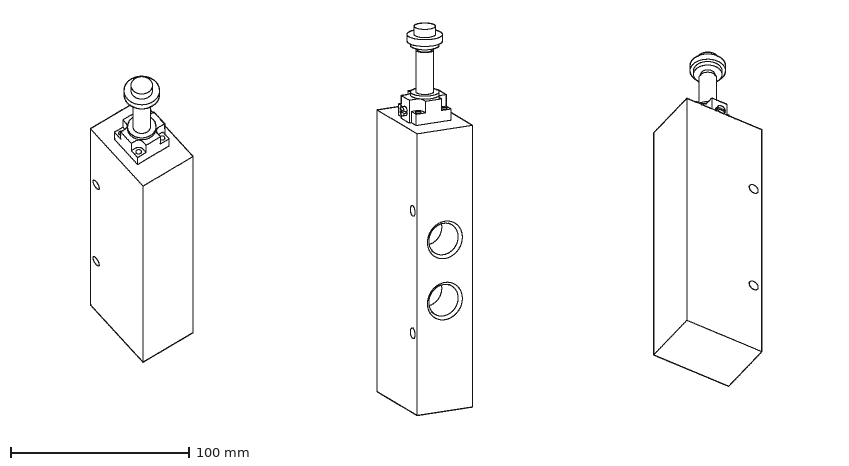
import cadquery as cq

BLOCK_X = 50.0
BLOCK_Y = 35.0
BLOCK_Z = 166.0
MID_Z = BLOCK_Z / 2

PORT_PITCH = 36.0
PORT_DIAMETER = 18.5
PORT_MOUTH_DIAMETER = 22.0
PORT_DEPTH = 22.0

MOUNT_PITCH = 2 * PORT_PITCH
MOUNT_DIAMETER = 6.0
MOUNT_EDGE_DISTANCE = 5.5

BASE_SIDE = 22.0
BASE_HEIGHT = 13.5
POCKET_SIDE = 6.0
POCKET_DEPTH = 6.8
POCKET_RADIUS = 3.0
SCREW_HOLE_DIAMETER = 3.0

TAB_WIDTH = BASE_SIDE - 2 * POCKET_SIDE
TAB_THICKNESS = 1.3
SCREW_DIAMETER = 5.3
SCREW_LENGTH = 2.0
SCREW_HEIGHT = 5.7
SLOT_WIDTH = 1.0

FLANGE_RADIUS = 16.0 / 2
FLANGE_THICKNESS = 1.8
STEM_RADIUS = 10.0 / 2
NECK_RADIUS = 8.0 / 2
DISC_RADIUS = 20.0 / 2
KNOB_RADIUS = 12.0 / 2
TOP_Z = 220.0
KNOB_BASE_Z = 215.2
DISC_BASE_Z = 211.2
COLLAR_BASE_Z = 208.5
STEM_TOP_Z = 206.0


def make_valve():
    """Rectangular valve block with two blind side ports and two through mounting holes."""
    valve = cq.Workplane("XY").box(BLOCK_X, BLOCK_Y, BLOCK_Z, centered=(True, True, False))
    mouth_radius = PORT_MOUTH_DIAMETER / 2
    port_radius = PORT_DIAMETER / 2
    mouth_depth = mouth_radius - port_radius
    port = (
        cq.Workplane("XY")
        .polyline([
            (0, 0),
            (0, mouth_radius),
            (mouth_depth, port_radius),
            (PORT_DEPTH, port_radius),
            (PORT_DEPTH, 0),
        ])
        .close()
        .revolve(360, (0, 0, 0), (1, 0, 0))
    )
    mount_hole = cq.Workplane("XZ").circle(MOUNT_DIAMETER / 2).extrude(BLOCK_Y / 2, both=True)
    mount_x = MOUNT_EDGE_DISTANCE - BLOCK_X / 2
    for side in (-1, 1):
        valve = valve.cut(port.translate((-BLOCK_X / 2, 0, MID_Z + side * PORT_PITCH / 2)))
        valve = valve.cut(mount_hole.translate((mount_x, 0, MID_Z + side * MOUNT_PITCH / 2)))
    return valve


def make_pilot_base():
    """Square base with rounded corner pockets and a screw hole in each pocket floor."""
    base = (
        cq.Workplane("XY", origin=(0, 0, BLOCK_Z))
        .box(BASE_SIDE, BASE_SIDE, BASE_HEIGHT, centered=(True, True, False))
    )
    hole_offset = BASE_SIDE / 2 - POCKET_SIDE + POCKET_RADIUS
    tool_side = 2 * POCKET_SIDE
    pocket_floor_z = BLOCK_Z + BASE_HEIGHT - POCKET_DEPTH
    pocket_center = BASE_SIDE / 2
    for side_x in (-1, 1):
        for side_y in (-1, 1):
            pocket = (
                cq.Workplane("XY", origin=(side_x * pocket_center, side_y * pocket_center, pocket_floor_z))
                .rect(tool_side, tool_side)
                .extrude(POCKET_DEPTH)
                .edges("|Z")
                .fillet(POCKET_RADIUS)
            )
            screw_hole = (
                cq.Workplane("XY", origin=(side_x * hole_offset, side_y * hole_offset, BLOCK_Z))
                .circle(SCREW_HOLE_DIAMETER / 2)
                .extrude(BASE_HEIGHT)
            )
            base = base.cut(pocket).cut(screw_hole)
    return base


def make_tab():
    """Tab on the +Y side of the base, carrying a screw head with a slot along X."""
    base_y = BASE_SIDE / 2
    tab_y = base_y + TAB_THICKNESS
    screw_z = BLOCK_Z + SCREW_HEIGHT
    tab = (
        cq.Workplane("XY", origin=(0, base_y, BLOCK_Z))
        .box(TAB_WIDTH, TAB_THICKNESS, BASE_HEIGHT, centered=(True, False, False))
    )
    screw = (
        cq.Workplane("XZ", origin=(0, tab_y, screw_z))
        .circle(SCREW_DIAMETER / 2)
        .extrude(-SCREW_LENGTH)
    )
    slot = (
        cq.Workplane("XY", origin=(0, tab_y, screw_z))
        .box(SCREW_DIAMETER, SCREW_LENGTH, SLOT_WIDTH, centered=(True, False, True))
    )
    return tab.union(screw.cut(slot))


def make_stem():
    """Turned flange, stem, neck, disc and knob on the Z axis."""
    flange_z = BLOCK_Z + BASE_HEIGHT
    flange_top_z = flange_z + FLANGE_THICKNESS
    return (
        cq.Workplane("XZ")
        .polyline([
            (0, flange_z),
            (FLANGE_RADIUS, flange_z),
            (FLANGE_RADIUS, flange_top_z),
            (STEM_RADIUS, flange_top_z),
            (STEM_RADIUS, STEM_TOP_Z),
            (NECK_RADIUS, STEM_TOP_Z),
            (NECK_RADIUS, COLLAR_BASE_Z),
            (FLANGE_RADIUS, COLLAR_BASE_Z),
            (FLANGE_RADIUS, DISC_BASE_Z),
            (DISC_RADIUS, DISC_BASE_Z),
            (DISC_RADIUS, KNOB_BASE_Z),
            (KNOB_RADIUS, KNOB_BASE_Z),
            (KNOB_RADIUS, TOP_Z),
            (0, TOP_Z),
        ])
        .close()
        .revolve(360, (0, 0, 0), (0, 1, 0))
    )


valve = make_valve()
pilot = make_pilot_base().union(make_tab()).union(make_stem())

result = cq.Compound.makeCompound([valve.val(), pilot.val()])